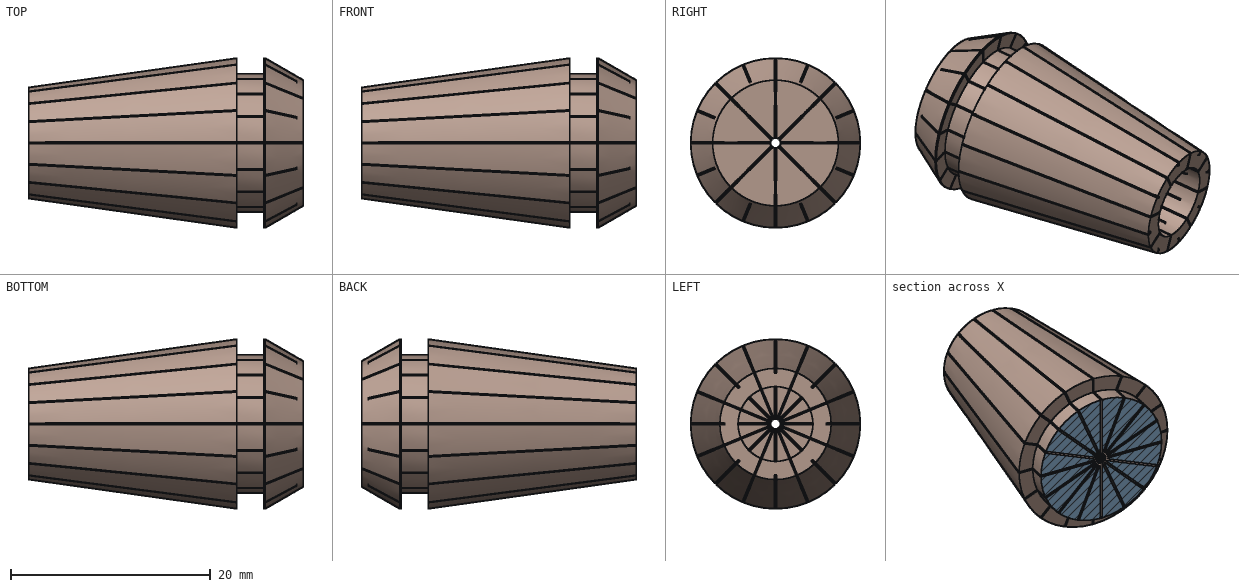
import cadquery as cq
import math

LENGTH = 27.5
MAX_RADIUS = 8.5
TAPER_ANGLE = 8.0
NOSE_ANGLE = 30.0
TAPER_LENGTH = 20.85
GROOVE_WIDTH = 2.67
GROOVE_RADIUS = 6.93
LAND_WIDTH = 0.16

CLEARANCE_RADIUS = 3.75
CLEARANCE_DEPTH = 17.5
GRIP_RADIUS = 0.5

SLOTS_PER_SET = 8
SLOT_WIDTH = 0.15
BLADE_OVERCUT = 0.28
NOSE_WALL = 0.65
BRIDGE_LENGTH = 1.7
BRIDGE_RADIUS = 5.17

SLOT_PITCH = 360.0 / SLOTS_PER_SET
groove_end = TAPER_LENGTH + GROOVE_WIDTH
nose_start = groove_end + LAND_WIDTH
small_end_radius = MAX_RADIUS - TAPER_LENGTH * math.tan(math.radians(TAPER_ANGLE))
nose_end_radius = MAX_RADIUS - (LENGTH - nose_start) * math.tan(math.radians(NOSE_ANGLE))
blade_reach = MAX_RADIUS + BLADE_OVERCUT


def turned_body():
    """Double-cone collet with its groove and stepped bore."""
    profile = [
        (0, CLEARANCE_RADIUS),
        (0, small_end_radius),
        (TAPER_LENGTH, MAX_RADIUS),
        (TAPER_LENGTH, GROOVE_RADIUS),
        (groove_end, GROOVE_RADIUS),
        (groove_end, MAX_RADIUS),
        (nose_start, MAX_RADIUS),
        (LENGTH, nose_end_radius),
        (LENGTH, GRIP_RADIUS),
        (CLEARANCE_DEPTH, GRIP_RADIUS),
        (CLEARANCE_DEPTH, CLEARANCE_RADIUS),
    ]
    return cq.Workplane("XY").polyline(profile).close().revolve(360, (0, 0, 0), (1, 0, 0))


def cut_slots(body, outline, first_angle):
    """Cut one evenly spaced set of slots; the outline is given as (x, radius)."""
    blade = cq.Workplane("XY").polyline(outline).close().extrude(SLOT_WIDTH / 2, both=True)
    for index in range(SLOTS_PER_SET):
        angle = first_angle + index * SLOT_PITCH
        body = body.cut(blade.rotate((0, 0, 0), (1, 0, 0), angle))
    return body


small_end_slot = [
    (0, 0),
    (LENGTH - NOSE_WALL, 0),
    (LENGTH - NOSE_WALL, blade_reach),
    (0, blade_reach),
]

nose_slot = [
    (BRIDGE_LENGTH, 0),
    (LENGTH, 0),
    (LENGTH, blade_reach),
    (0, blade_reach),
    (0, BRIDGE_RADIUS),
    (BRIDGE_LENGTH, CLEARANCE_RADIUS),
]

result = turned_body()
result = cut_slots(result, small_end_slot, SLOT_PITCH / 2)
result = cut_slots(result, nose_slot, 0)